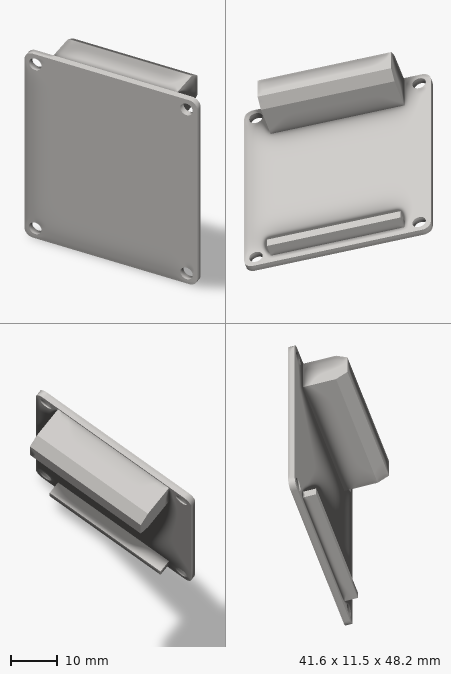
import cadquery as cq

plate_width = 41.65
plate_height = 48.25
plate_thickness = 1.5
corner_radius = 2.0
hole_diameter = 3.0
hole_inset = 2.6

total_depth = 11.5
block_width = 29.82
block_height = 8.0
block_top_gap = 0.5
taper_depth = 2.55
taper_height = 1.5

bar_width = block_width
bar_height = 2.0
bar_depth = 3.0
bar_bottom_gap = 2.0


def make_plate():
    """Rounded plate centred on X and Z, with a through hole in each corner."""
    hole_spacing_x = plate_width - 2 * hole_inset
    hole_spacing_z = plate_height - 2 * hole_inset
    plate = (
        cq.Workplane("XZ")
        .rect(plate_width, plate_height)
        .extrude(-plate_thickness)
        .edges("|Y")
        .fillet(corner_radius)
    )
    holes = (
        cq.Workplane("XZ")
        .rect(hole_spacing_x, hole_spacing_z, forConstruction=True)
        .vertices()
        .circle(hole_diameter / 2)
        .extrude(-plate_thickness)
    )
    return plate.cut(holes)


def make_connector_block():
    """Block whose upper and lower faces taper in toward its free end."""
    top = plate_height / 2 - block_top_gap
    bottom = top - block_height
    taper_start = total_depth - taper_depth
    profile = [
        (plate_thickness, bottom),
        (taper_start, bottom),
        (total_depth, bottom + taper_height),
        (total_depth, top - taper_height),
        (taper_start, top),
        (plate_thickness, top),
    ]
    return cq.Workplane("YZ").polyline(profile).close().extrude(block_width / 2, both=True)


def make_bar():
    """Plain rectangular bar across the back of the plate."""
    bar_centre_y = plate_thickness + bar_depth / 2
    bar_centre_z = -plate_height / 2 + bar_bottom_gap + bar_height / 2
    return cq.Workplane("XY").box(bar_width, bar_depth, bar_height).translate((0, bar_centre_y, bar_centre_z))


result = make_plate().union(make_connector_block()).union(make_bar())